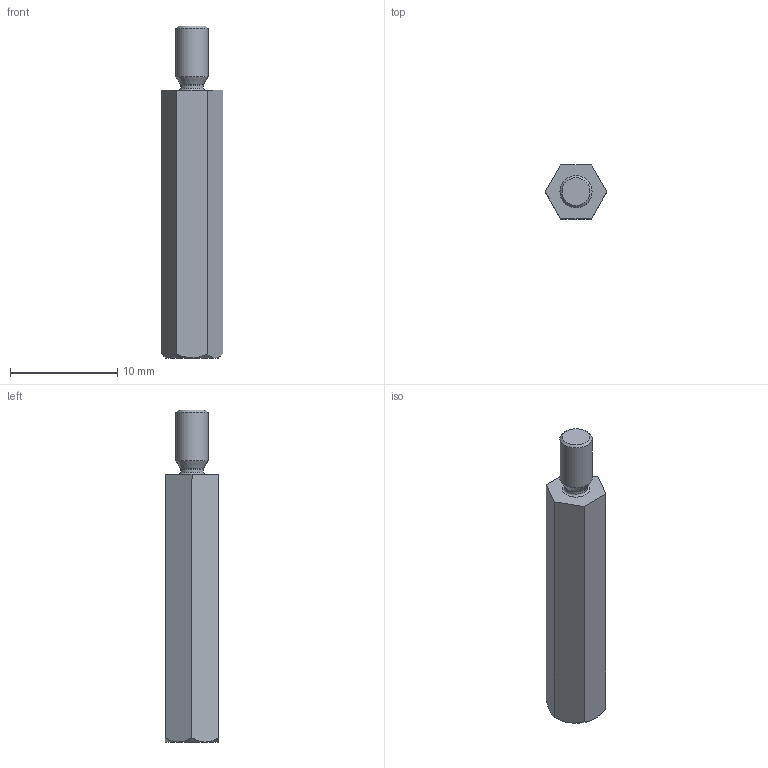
import cadquery as cq
import math

across_flats = 5.0
across_corners = across_flats / math.cos(math.radians(30))
body_length = 25.0
end_face_diameter = 4.98

stud_diameter = 3.0
stud_length = 6.0
tip_chamfer = 0.2

neck_diameter = 2.13
neck_fillet = 0.2
shank_start_height = 1.25
runout_half_angle = 30.0


def hex_body():
    """Hexagonal bar, corners on the X axis, with its lower corners turned off at 45 degrees."""
    bar = cq.Workplane("XY").polygon(6, across_corners).extrude(body_length)
    end_radius = end_face_diameter / 2
    corner_radius = across_corners / 2
    chamfer_height = corner_radius - end_radius
    envelope = (
        cq.Workplane("XZ")
        .moveTo(0, 0)
        .lineTo(end_radius, 0)
        .lineTo(corner_radius, chamfer_height)
        .lineTo(corner_radius, body_length)
        .lineTo(0, body_length)
        .close()
        .revolve(360, (0, 0, 0), (0, 1, 0))
    )
    return bar.intersect(envelope)


def stud():
    """Turned stud: filleted neck, conical run-out, plain shank and chamfered tip."""
    shank_radius = stud_diameter / 2
    neck_radius = neck_diameter / 2
    half_angle = math.radians(runout_half_angle)
    shank_start = body_length + shank_start_height
    neck_end = shank_start - (shank_radius - neck_radius) / math.tan(half_angle)

    blend_length = neck_fillet * math.tan(half_angle / 2)
    blend_end = (
        neck_radius + blend_length * math.sin(half_angle),
        neck_end + blend_length * math.cos(half_angle),
    )

    tip = body_length + stud_length
    return (
        cq.Workplane("XZ")
        .moveTo(0, body_length)
        .lineTo(neck_radius + neck_fillet, body_length)
        .radiusArc((neck_radius, body_length + neck_fillet), neck_fillet)
        .lineTo(neck_radius, neck_end - blend_length)
        .radiusArc(blend_end, neck_fillet)
        .lineTo(shank_radius, shank_start)
        .lineTo(shank_radius, tip - tip_chamfer)
        .lineTo(shank_radius - tip_chamfer, tip)
        .lineTo(0, tip)
        .close()
        .revolve(360, (0, 0, 0), (0, 1, 0))
    )


result = hex_body().union(stud())